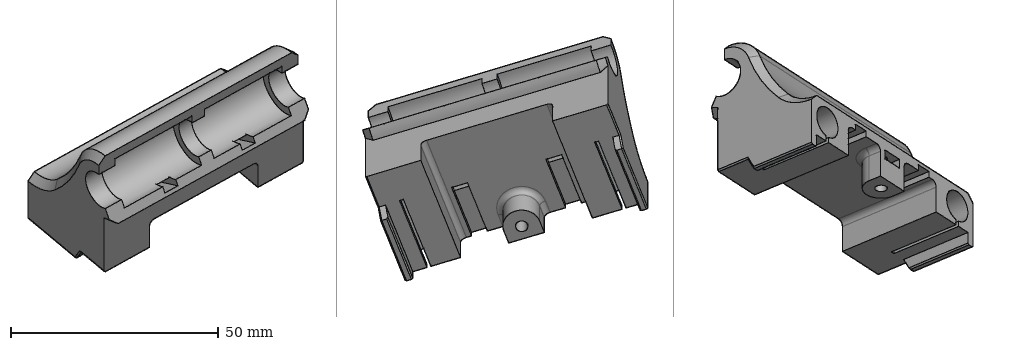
import cadquery as cq
import math

length = 62.0
body_depth = 29.1
total_height = 39.0

seat_x = 27.05
seat_radius = 5.0
crest_radius = 10.0
seat_z = total_height - crest_radius
lip_angle = math.radians(-60)
clearance_radius = 7.25
clearance_length = 24.0
clearance_offset = 13.95

front_height = 14.5
lower_sweep_radius = 12.15
upper_sweep_radius = 42.0
end_chamfer = 2.0

foot_thickness = 2.0
foot_depth = 18.1
foot_slope_depth = 1.85
foot_height = 3.35
foot_chamfer = 0.4

cavity_width = 33.65
cavity_top = 11.85
cavity_fillet = 1.5
post_width = 9.1
post_center_x = 3.5
screw_diameter = 3.0
nut_width = 5.5
nut_bottom = 9.05
nut_thickness = 2.5

bore_diameter = 8.1
bore_offset = 24.9
bore_z = 8.85
bore_depth = 20.0
slit_width = 1.0

strap_width = 4.0
strap_offset = 12.0
groove_top = 13.45
ramp_slope = math.radians(28)
ramp_exit_radius = 8.9
ramp_thickness = 2.0
ramp_nose = 0.3

mid_y = length / 2
tolerance = 0.005


def seat_point(radius, angle):
    """Point (x, z) at a polar position about the seat axis."""
    return seat_x + radius * math.cos(angle), seat_z + radius * math.sin(angle)


def toward(start, end, distance):
    """Point at a distance from start along the ray to end."""
    span = math.dist(start, end)
    return tuple(a + (b - a) * distance / span for a, b in zip(start, end))


def box(x_range, y_range, z_range):
    (x0, x1), (y0, y1), (z0, z1) = x_range, y_range, z_range
    return cq.Workplane("XY").box(x1 - x0, y1 - y0, z1 - z0, centered=False).translate((x0, y0, z0))


def extrude_y(outline, y0, y1):
    """Extrude a closed outline drawn in (x, z) from y0 to y1."""
    return outline.extrude(y0 - y1).translate((0, y0, 0))


def end_outline():
    seat_axis = (seat_x, seat_z)
    lower_center = (0, front_height + lower_sweep_radius)

    to_lower = upper_sweep_radius - lower_sweep_radius
    to_seat = upper_sweep_radius + crest_radius
    span = math.dist(lower_center, seat_axis)
    along = (to_lower**2 - to_seat**2 + span**2) / (2 * span)
    across = math.sqrt(to_lower**2 - along**2)
    ux = (seat_axis[0] - lower_center[0]) / span
    uz = (seat_axis[1] - lower_center[1]) / span
    upper_center = (lower_center[0] + along * ux - across * uz, lower_center[1] + along * uz + across * ux)

    lower_join = toward(upper_center, lower_center, upper_sweep_radius)
    upper_join = toward(upper_center, seat_axis, upper_sweep_radius)
    lip_root_angle = -math.acos((body_depth - seat_x) / crest_radius)

    return (
        cq.Workplane("XZ")
        .moveTo(0, 0)
        .lineTo(0, front_height)
        .radiusArc(lower_join, -lower_sweep_radius)
        .radiusArc(upper_join, -upper_sweep_radius)
        .radiusArc((seat_x, total_height), crest_radius)
        .lineTo(seat_x, seat_z + seat_radius)
        .threePointArc((seat_x - seat_radius, seat_z), seat_point(seat_radius, lip_angle))
        .lineTo(*seat_point(crest_radius, lip_angle))
        .radiusArc(seat_point(crest_radius, lip_root_angle), crest_radius)
        .lineTo(body_depth, foot_height)
        .lineTo(foot_depth + foot_slope_depth, foot_height)
        .lineTo(foot_depth, 0)
        .close()
    )


def is_outer_arc(edge):
    """True for arcs of the sweep, the crest and the lip, but not of the seat."""
    outer_radii = (lower_sweep_radius, upper_sweep_radius, crest_radius)
    return any(math.isclose(edge.radius(), radius, abs_tol=tolerance) for radius in outer_radii)


def below_foot_top(edge):
    """True for edges of the feet, their slopes and the raised underside."""
    return edge.BoundingBox().zmax < foot_height + tolerance


def is_inner_edge(edge):
    """True for foot edges that face the middle of the part."""
    return foot_thickness / 2 < edge.Center().y < length - foot_thickness / 2


def make_body():
    body = extrude_y(end_outline(), 0, length)
    body = body.faces("<Y or >Y").edges("%CIRCLE").filter(is_outer_arc).chamfer(end_chamfer)
    body = body.faces("<Y or >Y").edges().filter(below_foot_top).chamfer(foot_chamfer)

    between_feet = box((0, body_depth), (foot_thickness, length - foot_thickness), (0, foot_height))
    body = body.cut(between_feet)

    inner_edges = body.faces("<Z").edges("|X").filter(is_inner_edge)
    return inner_edges.chamfer(foot_chamfer)


def seat_clearance(y):
    outline = cq.Workplane("XZ").center(seat_x, seat_z).circle(clearance_radius)
    return extrude_y(outline, y - clearance_length / 2, y + clearance_length / 2)


def strap_channel(y):
    """Groove in the cavity roof that turns up a ramp and comes out in the seat."""
    rise = math.tan(ramp_slope)
    exit_x, exit_z = seat_point(ramp_exit_radius, lip_angle)
    headroom = ramp_thickness / math.cos(ramp_slope)
    floor_start_z = cavity_top + ramp_nose
    floor_start_x = exit_x - (exit_z - floor_start_z) / rise
    roof_start_x = exit_x - (exit_z + headroom - groove_top) / rise
    nose_foot_x = floor_start_x + ramp_nose * rise
    outline = (
        cq.Workplane("XZ")
        .moveTo(0, cavity_top - cavity_fillet)
        .lineTo(0, groove_top)
        .lineTo(roof_start_x, groove_top)
        .lineTo(exit_x, exit_z + headroom)
        .lineTo(exit_x, exit_z)
        .lineTo(floor_start_x, floor_start_z)
        .lineTo(nose_foot_x, cavity_top)
        .lineTo(nose_foot_x, cavity_top - cavity_fillet)
        .close()
    )
    return extrude_y(outline, y - strap_width / 2, y + strap_width / 2)


def borders_post(edge):
    """True for roof edges that run along the sides or the round end of the post."""
    bounds = edge.BoundingBox()
    reach = post_width / 2 + tolerance
    beside_post = mid_y - reach < bounds.ymin and bounds.ymax < mid_y + reach
    return beside_post and bounds.xmax < post_center_x + reach


def make_cavity():
    """Space under the roof, with the post left standing in it."""
    cavity = box((0, body_depth), (mid_y - cavity_width / 2, mid_y + cavity_width / 2), (0, cavity_top))
    post = box((0, post_center_x), (mid_y - post_width / 2, mid_y + post_width / 2), (0, cavity_top))
    post_end = cq.Workplane("XY").center(post_center_x, mid_y).circle(post_width / 2).extrude(cavity_top)
    cavity = cavity.edges("|X and >Z").fillet(cavity_fillet).cut(post.union(post_end))
    return cavity.faces(">Z").edges().filter(borders_post).fillet(cavity_fillet)


def nut_slot_and_screw_hole():
    slot = box(
        (0, post_center_x + nut_width / 2),
        (mid_y - nut_width / 2, mid_y + nut_width / 2),
        (nut_bottom, nut_bottom + nut_thickness),
    )
    screw = cq.Workplane("XY").center(post_center_x, mid_y).circle(screw_diameter / 2).extrude(cavity_top)
    return slot.union(screw)


def slit_bore(y):
    bore = cq.Workplane("YZ").center(y, bore_z).circle(bore_diameter / 2).extrude(bore_depth)
    slit = box((0, bore_depth), (y - slit_width / 2, y + slit_width / 2), (0, bore_z))
    return bore.union(slit)


result = make_body().cut(make_cavity()).cut(nut_slot_and_screw_hole())
for side in (-1, 1):
    result = result.cut(seat_clearance(mid_y + side * clearance_offset))
    result = result.cut(strap_channel(mid_y + side * strap_offset))
    result = result.cut(slit_bore(mid_y + side * bore_offset))